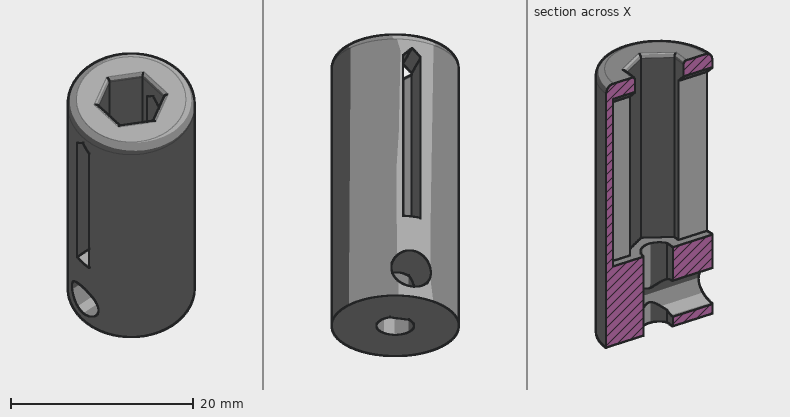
import cadquery as cq
import math

height = 33.0
body_diameter = 14.0
top_edge_radius = 1.0

socket_floor = 10.0
socket_across_flats = 6.3
socket_across_corners = socket_across_flats / math.cos(math.pi / 6)
socket_rim_radius = 0.43

bore_diameter = 4.12
bore_flat_distance = 1.75

slot_width = 2.0
slot_tip_height = 31.02
slot_shoulder_height = slot_tip_height - slot_width / 2
slot_end_y = 6.0

screw_hole_diameter = 4.5
screw_hole_height = 3.5
screw_hole_end_y = 1.12


def make_body():
    body = cq.Workplane("XY").circle(body_diameter / 2).extrude(height)
    return body.faces(">Z").edges().fillet(top_edge_radius)


def cut_socket(body):
    socket = (
        cq.Workplane("XY")
        .workplane(offset=socket_floor)
        .polygon(6, socket_across_corners)
        .extrude(height - socket_floor)
    )
    body = body.cut(socket)
    rim = body.faces(">Z").val().innerWires()[0]
    return body.newObject(rim.Edges()).fillet(socket_rim_radius)


def make_bore():
    cylinder = cq.Workplane("XY").circle(bore_diameter / 2).extrude(socket_floor)
    keep = (
        cq.Workplane("XY")
        .center(0, -bore_flat_distance)
        .rect(bore_diameter, bore_flat_distance + bore_diameter / 2, centered=(True, False))
        .extrude(socket_floor)
    )
    return cylinder.intersect(keep)


def from_front(end_y):
    """XZ sketch plane at Y = end_y; positive extrusion runs toward -Y."""
    return cq.Workplane("XZ", origin=(0, end_y, 0))


def make_slot():
    half_width = slot_width / 2
    outline = [
        (-half_width, socket_floor),
        (half_width, socket_floor),
        (half_width, slot_shoulder_height),
        (0, slot_tip_height),
        (-half_width, slot_shoulder_height),
    ]
    return from_front(slot_end_y).polyline(outline).close().extrude(slot_end_y + body_diameter / 2)


def make_screw_hole():
    return (
        from_front(screw_hole_end_y)
        .center(0, screw_hole_height)
        .circle(screw_hole_diameter / 2)
        .extrude(screw_hole_end_y + body_diameter / 2)
    )


result = cut_socket(make_body())
for cutter in (make_bore(), make_slot(), make_screw_hole()):
    result = result.cut(cutter)